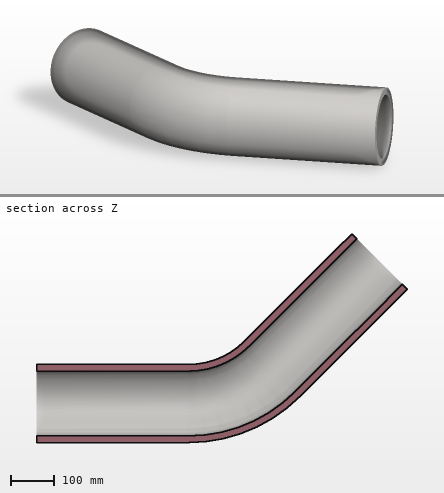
import cadquery as cq
import math

outer_diameter = 180.0
inner_diameter = 147.2

bend_angle = 45.0
bend_radius = 1.5 * outer_diameter
end_to_corner = 460.0

half_bend = math.radians(bend_angle / 2)
leg_length = end_to_corner - bend_radius * math.tan(half_bend)


def pipe_ring(plane):
    """Annular pipe section centred on the given plane."""
    return cq.Workplane(plane).circle(outer_diameter / 2).circle(inner_diameter / 2)


def straight_leg(plane):
    """Straight pipe leg starting at the plane and running along its normal."""
    return pipe_ring(plane).extrude(leg_length)


def bend(plane):
    """Pipe bend starting at the plane and turning toward +Y about a vertical axis."""
    return pipe_ring(plane).revolve(bend_angle, (bend_radius, 0, 0), (bend_radius, 1, 0))


inlet_plane = cq.Plane(origin=(-end_to_corner, 0, 0), xDir=(0, 1, 0), normal=(1, 0, 0))
bend_start_plane = cq.Plane(
    origin=(leg_length - end_to_corner, 0, 0), xDir=(0, 1, 0), normal=(1, 0, 0)
)

outlet_direction = cq.Vector(
    math.cos(math.radians(bend_angle)), math.sin(math.radians(bend_angle)), 0
)
bend_end_plane = cq.Plane(
    origin=outlet_direction * (end_to_corner - leg_length),
    xDir=(0, 0, 1),
    normal=outlet_direction,
)

result = (
    straight_leg(inlet_plane)
    .union(bend(bend_start_plane))
    .union(straight_leg(bend_end_plane))
)